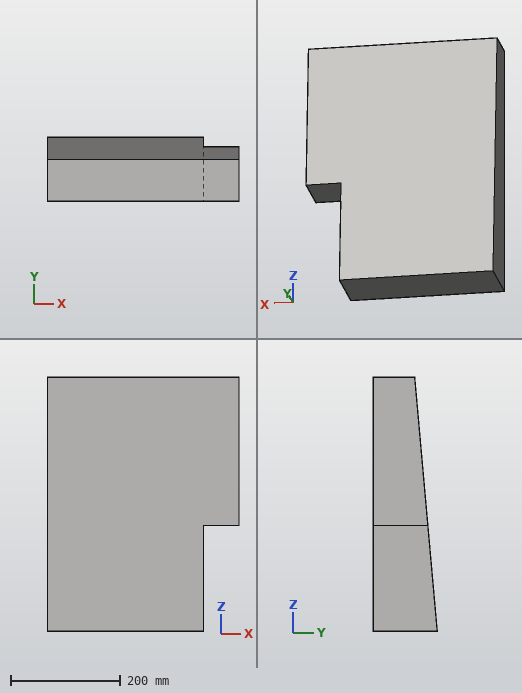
import cadquery as cq

width = 350.84
height = 465.14
base_depth = 117.47
top_depth = 76.2

notch_width = 65.09
notch_height = 193.68


def tapered_block():
    """Block with an upright -Y face and a sloping +Y face."""
    side_profile = [
        (0, 0),
        (base_depth, 0),
        (top_depth, height),
        (0, height),
    ]
    return cq.Workplane("YZ").polyline(side_profile).close().extrude(width)


def corner_notch():
    """Cutter that removes the lower +X corner."""
    return cq.Workplane("XY").box(
        notch_width, base_depth, notch_height, centered=False
    ).translate((width - notch_width, 0, 0))


result = tapered_block().cut(corner_notch())